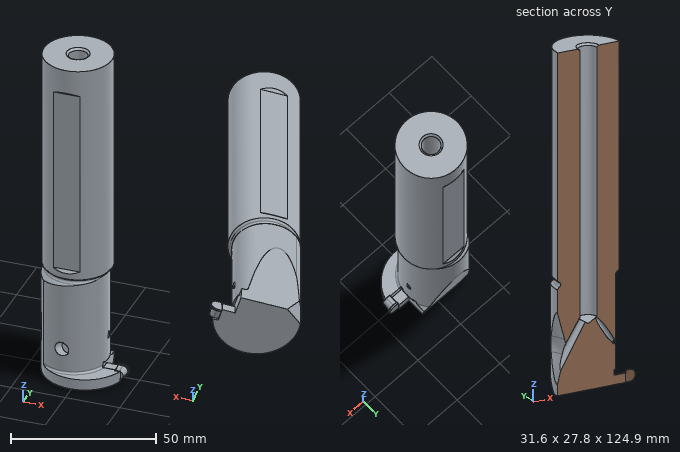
import cadquery as cq
import math

TOTAL_HEIGHT = 124.9
SHANK_RADIUS = 12.5
SHANK_BOTTOM = 41.8
FLAT_DISTANCE = 11.5
FLAT_BOTTOM = 44.0
FLAT_TOP = 115.9

GROOVE_Z = 40.3
GROOVE_RADIUS = 11.2
GROOVE_FLANK_RADIUS = 11.7
GROOVE_FLANK_HALF_WIDTH = SHANK_BOTTOM - GROOVE_Z - (SHANK_RADIUS - GROOVE_FLANK_RADIUS)

NECK_RADIUS = 12.5
NECK_X = -1.4
HEAD_RADIUS = 15.2
HEAD_X = 2.6
HEAD_Y = -0.1
FLANGE_HEIGHT = 4.1
NECK_FILLET = 0.7

RELIEF_TOP_Y = 12.5
RELIEF_TOP_Z = 25.8
RELIEF_BOTTOM_Y = 7.0
CORNER_SIDE = (-12.6, 2.0, 0.0)
CORNER_UPPER = (-10.2, 8.0, 4.9)
CORNER_BACK = (-6.2, RELIEF_BOTTOM_Y, 0.0)
CUT_SIZE = 50.0

SCOOP_X = -20.9
SCOOP_Y = -1.2
SCOOP_Z = 17.2
SCOOP_FLANK_RADIUS = 11.2
SCOOP_FLANK_HALF_HEIGHT = 2.9
SCOOP_FLANK_ANGLE = 16.0
SCOOP_END_RADIUS = 6.2

BORE_RADIUS = 3.4
BORE_MOUTH_RADIUS = 4.1
BORE_BOTTOM = 26.2
BORE_TIP_ANGLE = 118.0
SCOOP_CHANNEL_RADIUS = 1.6
SCOOP_CHANNEL_START = (-1.2, -1.2, 27.8)
SCOOP_CHANNEL_END = (-13.0, -0.5, 9.2)
SIDE_CHANNEL_RADIUS = 0.9
SIDE_CHANNEL_START = (2.4, -1.4, 26.8)
SIDE_CHANNEL_END = (11.5, 0.7, 14.0)

FRONT_HOLE_RADIUS = 2.5
FRONT_HOLE_X = -1.5
FRONT_HOLE_Z = 13.5
FRONT_HOLE_DEPTH = 5.0
FRONT_HOLE_SHIFT_X = 0.7
FRONT_HOLE_DROP = 1.4

CHIP_FACE_Y = 0.1
CHIP_SPACE_X = 10.5
CHIP_SPACE_TOP = 5.5
CHIP_FLOOR = 3.6
CHIP_WALL_Y = -4.2
CHIP_WALL_RUN = 0.6

INSERT_TIP_X = 19.0
INSERT_BACK_X = 15.1
INSERT_FACE_Y = -0.2
INSERT_DEPTH = 4.4
INSERT_NOSE_RADIUS = 2.2
INSERT_Z = 2.4
INSERT_LAND = 0.7
INSERT_INSET = 0.4
INSERT_RELIEF_ANGLE = 6.0


def disc(x, y, radius, bottom, top):
    return cq.Workplane("XY", origin=(x, y, bottom)).circle(radius).extrude(top - bottom)


def rod(start, end, radius):
    """Round rod from one point to another."""
    start_point = cq.Vector(*start)
    axis = cq.Vector(*end) - start_point
    return cq.Workplane(obj=cq.Solid.makeCylinder(radius, axis.Length, start_point, axis))


def make_shank():
    shank = disc(0, 0, SHANK_RADIUS, GROOVE_Z, TOTAL_HEIGHT)
    return shank.cut(flat_cutter(-1)).cut(flat_cutter(1))


def flat_cutter(side):
    """Cutter of one clamping flat, with ends that run out at 45 degrees."""
    rise = SHANK_RADIUS - FLAT_DISTANCE
    outline = [
        (side * FLAT_DISTANCE, FLAT_BOTTOM + rise),
        (side * SHANK_RADIUS, FLAT_BOTTOM),
        (side * SHANK_RADIUS, FLAT_TOP),
        (side * FLAT_DISTANCE, FLAT_TOP - rise),
    ]
    return cq.Workplane("YZ").polyline(outline).close().extrude(SHANK_RADIUS, both=True)


def make_head():
    """Neck trimmed by the head circle, standing on the full head flange."""
    neck_height = GROOVE_Z - FLANGE_HEIGHT
    fillet_edge = (NECK_RADIUS + NECK_FILLET, 0)
    fillet_top = (NECK_RADIUS, NECK_FILLET)
    fillet_dip = NECK_FILLET * (1 - math.sqrt(0.5))
    neck = (
        cq.Workplane("XZ", origin=(NECK_X, 0, FLANGE_HEIGHT))
        .lineTo(*fillet_edge)
        .threePointArc((NECK_RADIUS + fillet_dip, fillet_dip), fillet_top)
        .lineTo(NECK_RADIUS, neck_height)
        .lineTo(0, neck_height)
        .close()
        .revolve(360, (0, 0), (0, 1))
    )
    flange = disc(HEAD_X, HEAD_Y, HEAD_RADIUS, 0, FLANGE_HEIGHT)
    return neck.intersect(disc(HEAD_X, HEAD_Y, HEAD_RADIUS, 0, GROOVE_Z)).union(flange)


def groove_ring():
    """Ring cutter of the groove; its flanks run on past the neck surface."""
    reach = HEAD_RADIUS - GROOVE_FLANK_RADIUS
    flank = GROOVE_FLANK_HALF_WIDTH
    return (
        cq.Workplane("XZ", origin=(0, 0, GROOVE_Z))
        .moveTo(HEAD_RADIUS, -flank - reach)
        .lineTo(GROOVE_FLANK_RADIUS, -flank)
        .threePointArc((GROOVE_RADIUS, 0), (GROOVE_FLANK_RADIUS, flank))
        .lineTo(HEAD_RADIUS, flank + reach)
        .close()
        .revolve(360, (0, 0), (0, 1))
    )


def back_relief():
    slope = (RELIEF_TOP_Y - RELIEF_BOTTOM_Y) / RELIEF_TOP_Z
    outline = [
        (RELIEF_BOTTOM_Y, 0),
        (RELIEF_BOTTOM_Y + slope * SHANK_BOTTOM, SHANK_BOTTOM),
        (CUT_SIZE, SHANK_BOTTOM),
        (CUT_SIZE, 0),
    ]
    return cq.Workplane("YZ").polyline(outline).close().extrude(CUT_SIZE, both=True)


def corner_relief():
    """Everything outside the plane through the three corner points."""
    side = cq.Vector(*CORNER_SIDE)
    along = cq.Vector(*CORNER_BACK) - side
    outward = along.cross(cq.Vector(*CORNER_UPPER) - side)
    if outward.z > 0:
        outward = -outward
    plane = cq.Plane(origin=side, xDir=along, normal=outward)
    return cq.Workplane(plane).rect(CUT_SIZE, CUT_SIZE).extrude(CUT_SIZE)


def side_scoop():
    half_angle = math.radians(SCOOP_FLANK_ANGLE / 2)
    bulge = SCOOP_FLANK_HALF_HEIGHT * math.tan(half_angle)
    flank_run = SCOOP_FLANK_RADIUS - SCOOP_END_RADIUS
    half_height = SCOOP_FLANK_HALF_HEIGHT + flank_run / math.tan(math.radians(SCOOP_FLANK_ANGLE))
    return (
        cq.Workplane("XZ", origin=(SCOOP_X, SCOOP_Y, SCOOP_Z))
        .moveTo(0, -half_height)
        .lineTo(SCOOP_END_RADIUS, -half_height)
        .lineTo(SCOOP_FLANK_RADIUS, -SCOOP_FLANK_HALF_HEIGHT)
        .threePointArc(
            (SCOOP_FLANK_RADIUS + bulge, 0),
            (SCOOP_FLANK_RADIUS, SCOOP_FLANK_HALF_HEIGHT),
        )
        .lineTo(SCOOP_END_RADIUS, half_height)
        .lineTo(0, half_height)
        .close()
        .revolve(360, (0, 0), (0, 1))
    )


def coolant_bore():
    mouth_chamfer = BORE_MOUTH_RADIUS - BORE_RADIUS
    tip = BORE_RADIUS / math.tan(math.radians(BORE_TIP_ANGLE / 2))
    outline = [
        (0, BORE_BOTTOM - tip),
        (BORE_RADIUS, BORE_BOTTOM),
        (BORE_RADIUS, TOTAL_HEIGHT - mouth_chamfer),
        (BORE_MOUTH_RADIUS, TOTAL_HEIGHT),
        (0, TOTAL_HEIGHT),
    ]
    return cq.Workplane("XZ").polyline(outline).close().revolve(360, (0, 0), (0, 1))


def front_hole():
    end = cq.Vector(
        FRONT_HOLE_X + FRONT_HOLE_SHIFT_X,
        FRONT_HOLE_DEPTH - NECK_RADIUS,
        FRONT_HOLE_Z - FRONT_HOLE_DROP,
    )
    mouth = cq.Vector(FRONT_HOLE_X, -NECK_RADIUS, FRONT_HOLE_Z)
    outside = mouth + (mouth - end)
    return rod(outside.toTuple(), end.toTuple(), FRONT_HOLE_RADIUS)


def chip_space():
    """Room in front of the insert face and a shallow step in the flange beside it."""
    front = (
        cq.Workplane("XY", origin=(CHIP_SPACE_X, CHIP_FACE_Y, 0))
        .rect(CUT_SIZE, CUT_SIZE, centered=False)
        .extrude(CHIP_SPACE_TOP)
    )
    step_outline = [
        (CHIP_FACE_Y, CHIP_FLOOR),
        (CHIP_WALL_Y + CHIP_WALL_RUN, CHIP_FLOOR),
        (CHIP_WALL_Y, FLANGE_HEIGHT),
        (CHIP_WALL_Y, CHIP_SPACE_TOP),
        (CHIP_FACE_Y, CHIP_SPACE_TOP),
    ]
    step = (
        cq.Workplane("YZ", origin=(CHIP_SPACE_X, 0, 0))
        .polyline(step_outline)
        .close()
        .extrude(INSERT_BACK_X - CHIP_SPACE_X)
    )
    return front.union(step)


def insert_pocket():
    """Seat open to the front, the end and both faces of the flange."""
    return (
        cq.Workplane("XY", origin=(INSERT_BACK_X, INSERT_FACE_Y - INSERT_DEPTH, 0))
        .rect(CUT_SIZE, CUT_SIZE, centered=False)
        .extrude(CHIP_SPACE_TOP)
    )


def insert_stage(radius, front_y, depth, taper):
    """Length of the insert with a round nose; the taper runs past the back end."""
    nose_x = INSERT_TIP_X - INSERT_NOSE_RADIUS
    start_x = INSERT_BACK_X - radius
    return (
        cq.Workplane("XZ", origin=(0, front_y, INSERT_Z))
        .moveTo(start_x, -radius)
        .lineTo(nose_x, -radius)
        .threePointArc((nose_x + radius, 0), (nose_x, radius))
        .lineTo(start_x, radius)
        .close()
        .extrude(depth, taper=taper)
    )


def make_insert():
    rim = insert_stage(INSERT_NOSE_RADIUS, INSERT_FACE_Y, INSERT_LAND, 0)
    body = insert_stage(
        INSERT_NOSE_RADIUS - INSERT_INSET,
        INSERT_FACE_Y - INSERT_LAND,
        INSERT_DEPTH - INSERT_LAND,
        INSERT_RELIEF_ANGLE,
    )
    return rim.union(body).intersect(insert_pocket())


holder = make_shank().union(make_head())
cutters = [
    groove_ring(),
    back_relief(),
    corner_relief(),
    side_scoop(),
    coolant_bore(),
    rod(SCOOP_CHANNEL_START, SCOOP_CHANNEL_END, SCOOP_CHANNEL_RADIUS),
    rod(SIDE_CHANNEL_START, SIDE_CHANNEL_END, SIDE_CHANNEL_RADIUS),
    front_hole(),
    chip_space(),
    insert_pocket(),
]
for cutter in cutters:
    holder = holder.cut(cutter)

insert = make_insert()

result = cq.Compound.makeCompound([holder.val(), insert.val()])